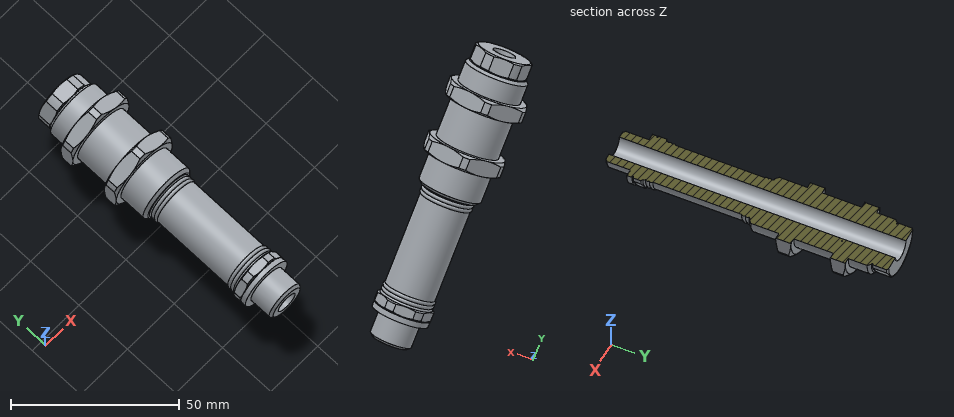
import cadquery as cq
import math

total_length = 94.3

spigot_radius = 6.6
spigot_length = 8.4
spigot_chamfer = 0.85
flange_radius = 9.0
flange_length = 1.8
bore_radius = 3.6

small_hex_flats = 17.0
small_hex_corners = 18.1
small_hex_face_diameter = 16.7
front_hex_length = 3.3
rear_hex_length = 5.4

sleeve_radius = 8.0
bead_width = 1.2
bead_height = 0.4
beads_per_row = 3
front_bead_start = 16.6
rear_bead_start = 45.7

body_radius = 10.0
body_start = 48.7
body_end = total_length - rear_hex_length
body_front_chamfer = 1.0
body_rear_chamfer = 0.9
nut_flats = 24.0
nut_corners = 26.6
nut_face_diameter = nut_flats
nut_thickness = 5.0
nut_starts = (58.8, 76.8)

hex_chamfer_slope = math.tan(math.radians(30))


def cylinder(radius, start, end):
    """Cylinder about the Y axis between two Y positions."""
    end_plane = cq.Workplane("XZ", origin=(0, start, 0))
    return end_plane.circle(radius).extrude(start - end)


def hexagon(flats, corners, face_diameter, start, length, corner_angle):
    """Hexagon along Y with rounded corners, one at corner_angle from X, and chamfered ends."""
    prism = (
        cq.Workplane("XZ", origin=(0, start, 0))
        .polygon(6, flats / math.cos(math.pi / 6))
        .extrude(-length)
        .rotate((0, 0, 0), (0, 1, 0), corner_angle)
    )
    chamfer_radial = (corners - face_diameter) / 2
    chamfer_axial = chamfer_radial * hex_chamfer_slope
    turned_blank = (
        cylinder(corners / 2, start, start + length)
        .faces("<Y").chamfer(chamfer_axial, chamfer_radial)
        .faces(">Y").chamfer(chamfer_axial, chamfer_radial)
    )
    return prism.intersect(turned_blank)


def small_hexagon(start, length):
    """Small hexagon with corners toward +X and -X."""
    return hexagon(small_hex_flats, small_hex_corners, small_hex_face_diameter, start, length, 0)


def lock_nut(start):
    """Lock nut with corners toward +Z and -Z."""
    return hexagon(nut_flats, nut_corners, nut_face_diameter, start, nut_thickness, 30)


def bead_row(start, direction):
    """Row of touching rounded beads, running from start along Y in the given direction."""
    inner_radius = sleeve_radius - bead_height
    profile = cq.Workplane("XY").moveTo(inner_radius, start).lineTo(sleeve_radius, start)
    for index in range(beads_per_row):
        crest = start + direction * (index + 0.5) * bead_width
        valley = start + direction * (index + 1) * bead_width
        profile = profile.threePointArc((sleeve_radius + bead_height, crest), (sleeve_radius, valley))
    profile = profile.lineTo(inner_radius, valley).close()
    return profile.revolve(360, (0, 0, 0), (0, 1, 0))


flange_end = spigot_length + flange_length
spigot = cylinder(spigot_radius, 0, spigot_length).faces("<Y").chamfer(spigot_chamfer)
flange = cylinder(flange_radius, spigot_length, flange_end)
sleeve = cylinder(sleeve_radius, flange_end, body_start)
body = (
    cylinder(body_radius, body_start, body_end)
    .faces("<Y").chamfer(body_front_chamfer)
    .faces(">Y").chamfer(body_rear_chamfer)
)

result = spigot.union(flange).union(sleeve).union(body)
result = result.union(small_hexagon(flange_end, front_hex_length))
result = result.union(small_hexagon(body_end, rear_hex_length))
result = result.union(bead_row(front_bead_start, -1))
result = result.union(bead_row(rear_bead_start, 1))
for nut_start in nut_starts:
    result = result.union(lock_nut(nut_start))
result = result.cut(cylinder(bore_radius, 0, total_length))